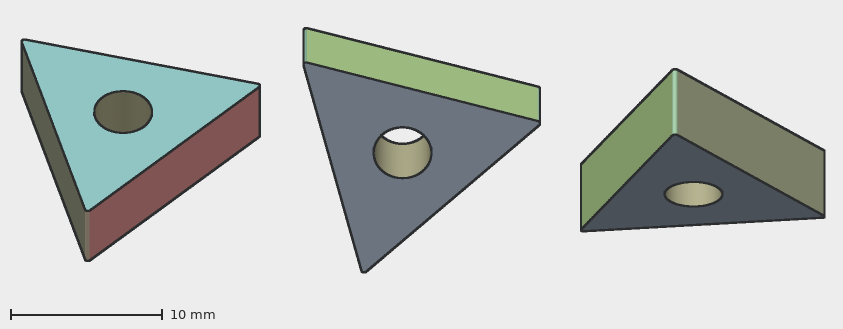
import cadquery as cq
import math

width = 16.2
thickness = 4.76
nose_radius = 0.2
hole_diameter = 3.8

side = width + 2 * nose_radius * (math.sqrt(3) - 1)
inscribed_radius = side / (2 * math.sqrt(3))
corner_radius = 2 * inscribed_radius

corners = [
    (-side / 2, -inscribed_radius),
    (side / 2, -inscribed_radius),
    (0, corner_radius),
]
body = cq.Workplane("XY").polyline(corners).close().extrude(thickness)
body = body.edges("|Z").fillet(nose_radius)

result = body.faces(">Z").workplane(origin=(0, 0, thickness)).hole(hole_diameter)